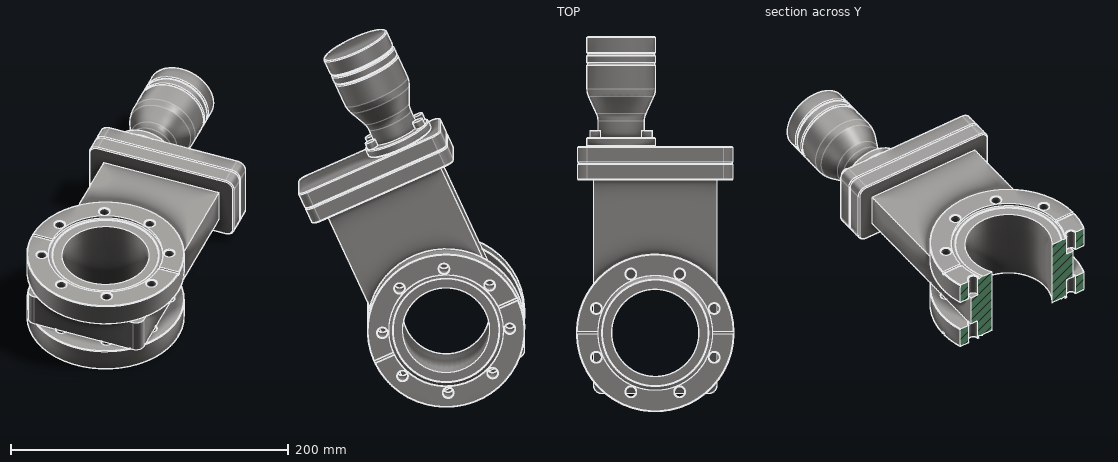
import cadquery as cq
import math


flange_radius = 56.8
flange_thickness = 17.5
overall_height = 61.0
overall_length = 270.5
bore_radius = 31.5
flange_chamfer = 0.5
half_gap = overall_height / 2 - flange_thickness

recess_radius = 41.5
knife_radius = 38.7
knife_foot_radius = 38.1
recess_depth = 2.2
knife_tip_depth = 1.0
inner_face_depth = 1.5

bolt_count = 8
bolt_circle_radius = 46.0
bolt_hole_diameter = 7.3
bolt_hole_chamfer = 0.5
leak_groove_width = 2.0
leak_groove_depth = 1.5

body_width = 89.3
body_thickness = 2 * half_gap
body_front_y = -43.8
body_corner_radius = 6.2

bonnet_width = 112.2
bonnet_height = 51.5
bonnet_corner_radius = 6.8
bonnet_chamfer = 0.8
bonnet_front_y = 110.0
plate_count = 2
plate_thickness = 12.2
bonnet_back_y = bonnet_front_y + plate_count * plate_thickness

knob_x = -24.5
knob_radius = 25.0
knob_end_y = overall_length - flange_radius
neck_radius = 16.8
collar_thickness = 6.5
turned_chamfer = 0.8
cone_start_y = 155.5
cone_end_y = 173.0
cone_blend_radius = 13.3
knob_groove_depth = 0.8
wide_groove_y = 201.0
wide_groove_width = 2.5
narrow_groove_y = 194.0
narrow_groove_width = 2.0

screw_x = 18.7
screw_z = 8.7
screw_head_diameter = 7.8
screw_head_height = 5.0


def xz_plane(y):
    """Workplane at distance y along Y whose normal is +Y and whose local X points along -X."""
    return cq.Workplane(cq.Plane(origin=(0, y, 0), xDir=(-1, 0, 0), normal=(0, 1, 0)))


def make_flange():
    """Upper flange, with its sealing face at the top."""
    top_z = overall_height / 2
    flange = (
        cq.Workplane("XY")
        .workplane(offset=half_gap)
        .circle(flange_radius)
        .extrude(flange_thickness)
        .edges()
        .chamfer(flange_chamfer)
    )
    recess = (
        cq.Workplane("XZ")
        .polyline([
            (0, top_z),
            (recess_radius, top_z),
            (recess_radius, top_z - recess_depth),
            (knife_radius, top_z - knife_tip_depth),
            (knife_foot_radius, top_z - inner_face_depth),
            (0, top_z - inner_face_depth),
        ])
        .close()
        .revolve(360, (0, 0, 0), (0, 1, 0))
    )
    leak_groove = (
        cq.Workplane("XY")
        .box(2 * flange_radius, leak_groove_width, leak_groove_depth, centered=(True, True, False))
        .translate((0, 0, top_z - leak_groove_depth))
        .cut(cq.Workplane("XY").circle(recess_radius).extrude(top_z))
    )
    countersink_radius = bolt_hole_diameter / 2 + bolt_hole_chamfer
    bolt_hole = (
        cq.Workplane("XZ")
        .polyline([
            (0, half_gap),
            (countersink_radius, half_gap),
            (bolt_hole_diameter / 2, half_gap + bolt_hole_chamfer),
            (bolt_hole_diameter / 2, top_z - bolt_hole_chamfer),
            (countersink_radius, top_z),
            (0, top_z),
        ])
        .close()
        .revolve(360, (0, 0, 0), (0, 1, 0))
        .translate((bolt_circle_radius, 0, 0))
    )
    flange = flange.cut(leak_groove).cut(recess)
    bolt_pitch = 360 / bolt_count
    for bolt_index in range(bolt_count):
        angle = (bolt_index + 0.5) * bolt_pitch
        flange = flange.cut(bolt_hole.rotate((0, 0, 0), (0, 0, 1), angle))
    return flange


def make_body():
    length = bonnet_front_y - body_front_y
    return (
        cq.Workplane("XY")
        .box(body_width, length, body_thickness, centered=(True, False, True))
        .translate((0, body_front_y, 0))
        .edges("|Z and <Y")
        .fillet(body_corner_radius)
    )


def make_bonnet_plate(front_y):
    return (
        xz_plane(front_y)
        .rect(bonnet_width, bonnet_height)
        .extrude(plate_thickness)
        .edges("|Y")
        .fillet(bonnet_corner_radius)
        .faces("<Y or >Y")
        .edges()
        .chamfer(bonnet_chamfer)
    )


def knob_groove(center_y, width):
    """Ring cutter for a groove around the grip, with sides sloped at 45 degrees."""
    floor_radius = knob_radius - knob_groove_depth
    floor_half_width = width / 2 - knob_groove_depth
    return (
        cq.Workplane("XY")
        .polyline([
            (knob_radius, center_y - width / 2),
            (floor_radius, center_y - floor_half_width),
            (floor_radius, center_y + floor_half_width),
            (knob_radius, center_y + width / 2),
        ])
        .close()
        .revolve(360, (0, 0, 0), (0, 1, 0))
    )


def make_knob():
    """Collar, neck, cone and grip, built about the Y axis."""
    collar = (
        xz_plane(bonnet_back_y)
        .circle(knob_radius)
        .extrude(collar_thickness)
        .edges()
        .chamfer(turned_chamfer)
    )
    slope = math.atan2(knob_radius - neck_radius, cone_end_y - cone_start_y)
    tangent = cone_blend_radius * math.tan(slope / 2)
    rise = tangent * math.sin(slope)
    run = tangent * math.cos(slope)
    half_run = cone_blend_radius * math.sin(slope / 2)
    half_rise = cone_blend_radius * (1 - math.cos(slope / 2))
    neck_tangent_y = cone_start_y - tangent
    grip_tangent_y = cone_end_y + tangent
    shaft = (
        cq.Workplane("XY")
        .moveTo(0, bonnet_back_y)
        .lineTo(neck_radius, bonnet_back_y)
        .lineTo(neck_radius, neck_tangent_y)
        .threePointArc(
            (neck_radius + half_rise, neck_tangent_y + half_run),
            (neck_radius + rise, cone_start_y + run),
        )
        .lineTo(knob_radius - rise, cone_end_y - run)
        .threePointArc(
            (knob_radius - half_rise, grip_tangent_y - half_run),
            (knob_radius, grip_tangent_y),
        )
        .lineTo(knob_radius, knob_end_y - turned_chamfer)
        .lineTo(knob_radius - turned_chamfer, knob_end_y)
        .lineTo(0, knob_end_y)
        .close()
        .revolve(360, (0, 0, 0), (0, 1, 0))
    )
    screws = (
        xz_plane(bonnet_back_y + collar_thickness)
        .rect(2 * screw_x, 2 * screw_z, forConstruction=True)
        .vertices()
        .circle(screw_head_diameter / 2)
        .extrude(screw_head_height)
    )
    knob = shaft.union(collar).union(screws)
    knob = knob.cut(knob_groove(wide_groove_y, wide_groove_width))
    return knob.cut(knob_groove(narrow_groove_y, narrow_groove_width))


upper_flange = make_flange()
lower_flange = upper_flange.mirror("XY")
bore = cq.Workplane("XY", origin=(0, 0, -overall_height / 2)).circle(bore_radius).extrude(overall_height)

result = make_body().union(upper_flange).union(lower_flange).cut(bore)
for plate_index in range(plate_count):
    result = result.union(make_bonnet_plate(bonnet_front_y + plate_index * plate_thickness))
result = result.union(make_knob().translate((knob_x, 0, 0)))